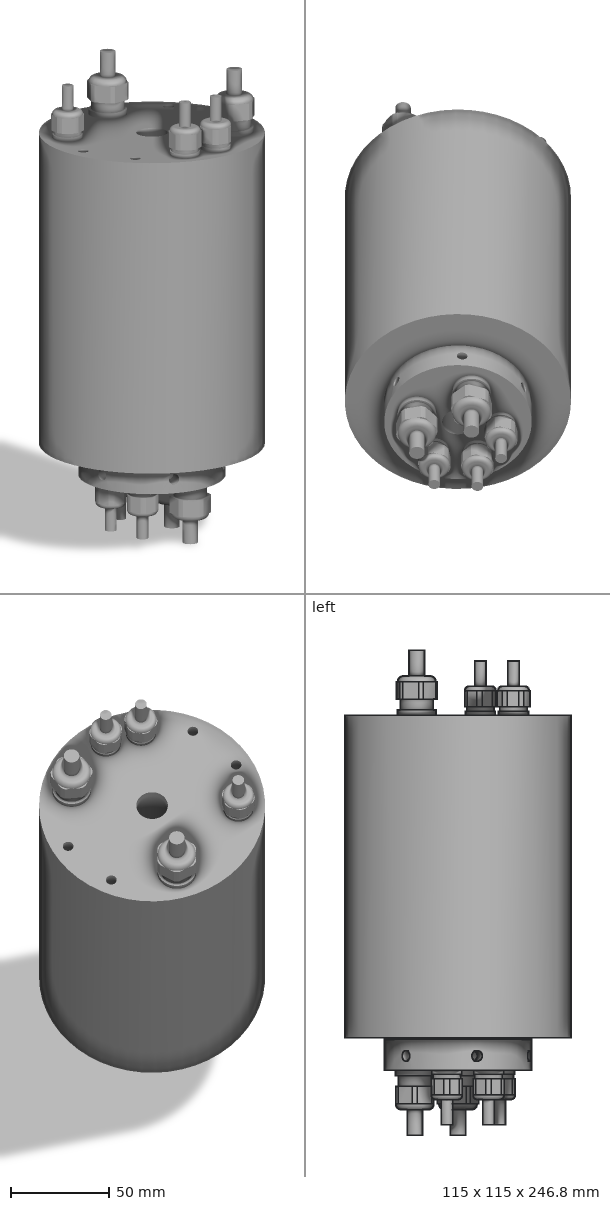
import cadquery as cq
import math

OVERALL_HEIGHT = 246.8
BODY_DIAMETER = 115.0
BODY_HEIGHT = 164.0
COLLAR_DIAMETER = 75.0
COLLAR_HEIGHT = 16.5
NECK_DIAMETER = 65.2
NECK_HEIGHT = 0.7
BORE_DIAMETER = 16.0

DRILL_DIAMETER = 5.5
DRILL_DEPTH = 9.9
DRILL_POINT_ANGLE = 118.0
TOP_HOLE_SPACING_X = 29.9
TOP_HOLE_SPACING_Y = 93.8
COLLAR_HOLE_COUNT = 6
COLLAR_HOLE_FIRST_ANGLE = 15.0
COLLAR_HOLE_DROP = 9.1

GLAND_OVERLAP = 0.5
LARGE_GLAND = {
    "flange_diameter": 19.7,
    "flange_top": 2.7,
    "neck_diameter": 17.0,
    "neck_top": 8.1,
    "nut_across_flats": 19.5,
    "nut_corner_diameter": 21.2,
    "nut_top": 17.0,
    "dome_top": 20.0,
    "dome_fillet": 3.0,
    "cable_diameter": 8.0,
    "cable_top": (OVERALL_HEIGHT - BODY_HEIGHT - COLLAR_HEIGHT) / 2,
}
SMALL_GLAND = {
    "flange_diameter": 15.3,
    "flange_top": 2.0,
    "neck_diameter": 14.0,
    "neck_top": 4.2,
    "nut_across_flats": 15.8,
    "nut_corner_diameter": 16.8,
    "nut_top": 12.3,
    "dome_top": 14.8,
    "dome_fillet": 2.2,
    "cable_diameter": 6.0,
    "cable_top": 27.6,
}

TOP_LARGE_RADIUS = 42.0
TOP_SMALL_RADIUS = 44.0
TOP_GLANDS = [
    (LARGE_GLAND, TOP_LARGE_RADIUS, 30, -12),
    (LARGE_GLAND, TOP_LARGE_RADIUS, 150, 12),
    (SMALL_GLAND, TOP_SMALL_RADIUS, -15, -3),
    (SMALL_GLAND, TOP_SMALL_RADIUS, -40, 32),
    (SMALL_GLAND, TOP_SMALL_RADIUS, -140, 28),
]
BOTTOM_GLAND_RADIUS = 22.0
BOTTOM_GLANDS = [
    (LARGE_GLAND, BOTTOM_GLAND_RADIUS, 0, 30),
    (LARGE_GLAND, BOTTOM_GLAND_RADIUS, 90, 0),
    (SMALL_GLAND, BOTTOM_GLAND_RADIUS, 165, 0),
    (SMALL_GLAND, BOTTOM_GLAND_RADIUS, 225, 0),
    (SMALL_GLAND, BOTTOM_GLAND_RADIUS, 285, 0),
]


def cylinder(diameter, bottom, top):
    return cq.Workplane("XY").workplane(offset=bottom).circle(diameter / 2).extrude(top - bottom)


def on_circle(radius, angle):
    return radius * math.cos(math.radians(angle)), radius * math.sin(math.radians(angle))


def make_nut(gland):
    """Hexagon nut with its corners turned down; one corner points along +X."""
    across_corners = gland["nut_across_flats"] / math.cos(math.radians(30))
    hexagon = (
        cq.Workplane("XY")
        .workplane(offset=gland["neck_top"])
        .polygon(6, across_corners)
        .extrude(gland["nut_top"] - gland["neck_top"])
    )
    return hexagon.intersect(cylinder(gland["nut_corner_diameter"], gland["neck_top"], gland["nut_top"]))


def make_gland(gland):
    """Gland and cable pointing up, sunk slightly below Z = 0 so that it joins the body."""
    dome = cylinder(gland["nut_across_flats"], gland["neck_top"], gland["dome_top"])
    dome = dome.faces(">Z").edges().fillet(gland["dome_fillet"])
    return (
        cylinder(gland["flange_diameter"], -GLAND_OVERLAP, gland["flange_top"])
        .union(cylinder(gland["neck_diameter"], -GLAND_OVERLAP, gland["neck_top"]))
        .union(make_nut(gland))
        .union(dome)
        .union(cylinder(gland["cable_diameter"], -GLAND_OVERLAP, gland["cable_top"]))
    )


def make_drill():
    """Cutter for a blind hole entering at Z = 0 and going down to a conical point."""
    radius = DRILL_DIAMETER / 2
    point_length = radius / math.tan(math.radians(DRILL_POINT_ANGLE / 2))
    return (
        cq.Workplane("XZ")
        .moveTo(0, 0)
        .lineTo(radius, 0)
        .lineTo(radius, -DRILL_DEPTH)
        .lineTo(0, -DRILL_DEPTH - point_length)
        .close()
        .revolve(360, (0, 0, 0), (0, 1, 0))
    )


part = cylinder(BODY_DIAMETER, 0, BODY_HEIGHT)
part = part.union(cylinder(NECK_DIAMETER, -NECK_HEIGHT, 0))
part = part.union(cylinder(COLLAR_DIAMETER, -COLLAR_HEIGHT, -NECK_HEIGHT))
part = part.cut(cylinder(BORE_DIAMETER, -COLLAR_HEIGHT, BODY_HEIGHT))

for side_x in (-1, 1):
    for side_y in (-1, 1):
        hole_x = side_x * TOP_HOLE_SPACING_X / 2
        hole_y = side_y * TOP_HOLE_SPACING_Y / 2
        part = part.cut(make_drill().translate((hole_x, hole_y, BODY_HEIGHT)))

radial_drill = (
    make_drill()
    .rotate((0, 0, 0), (0, 1, 0), 90)
    .translate((COLLAR_DIAMETER / 2, 0, -COLLAR_HOLE_DROP))
)
for index in range(COLLAR_HOLE_COUNT):
    hole_angle = COLLAR_HOLE_FIRST_ANGLE + index * 360 / COLLAR_HOLE_COUNT
    part = part.cut(radial_drill.rotate((0, 0, 0), (0, 0, 1), hole_angle))

for gland, pitch_radius, angle, corner_angle in TOP_GLANDS:
    x, y = on_circle(pitch_radius, angle)
    upright = make_gland(gland).rotate((0, 0, 0), (0, 0, 1), corner_angle)
    part = part.union(upright.translate((x, y, BODY_HEIGHT)))

for gland, pitch_radius, angle, corner_angle in BOTTOM_GLANDS:
    x, y = on_circle(pitch_radius, angle)
    hanging = make_gland(gland).mirror("XY").rotate((0, 0, 0), (0, 0, 1), corner_angle)
    part = part.union(hanging.translate((x, y, -COLLAR_HEIGHT)))

result = part